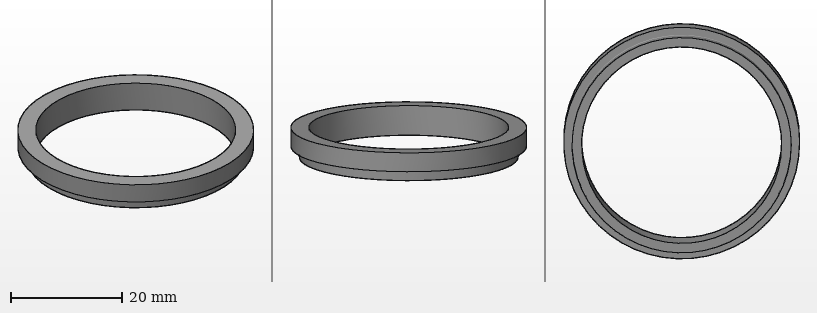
import cadquery as cq

flange_diameter = 42.5
spigot_diameter = 39.5
bore_diameter = 36.0
total_height = 5.5
spigot_height = 2.0
corner_fillet = 0.1

bore_radius = bore_diameter / 2
spigot_radius = spigot_diameter / 2
flange_radius = flange_diameter / 2
section = (
    cq.Workplane("XZ")
    .moveTo(bore_radius, 0)
    .lineTo(spigot_radius, 0)
    .lineTo(spigot_radius, spigot_height - corner_fillet)
    .tangentArcPoint((corner_fillet, corner_fillet))
    .lineTo(flange_radius, spigot_height)
    .lineTo(flange_radius, total_height)
    .lineTo(bore_radius, total_height)
    .close()
)

result = section.revolve(360, (0, 0, 0), (0, 1, 0))